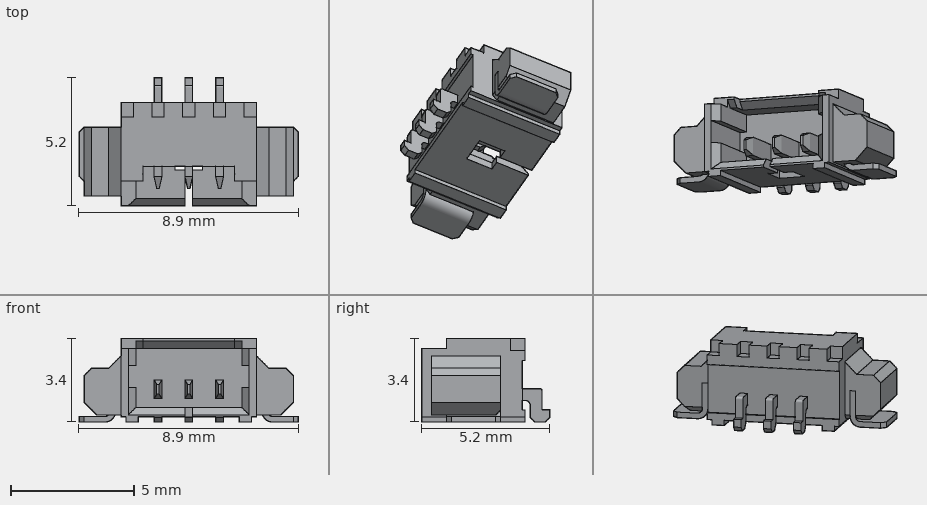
import cadquery as cq
import math


HOUSING_WIDTH = 5.5
HOUSING_DEPTH = 4.2
HOUSING_BOTTOM = 0.215
HOUSING_TOP = 3.4
FRONT_STEP_DEPTH = 1.0
FRONT_STEP_Z = 3.0
REAR_RECESS_DEPTH = 0.11
REAR_RECESS_BOTTOM = 0.5
REAR_RECESS_TOP = 2.5

SOCKET_WIDTH = 4.3
SOCKET_DEPTH = 3.0
SOCKET_FLOOR = 0.6
SOCKET_CEILING = FRONT_STEP_Z
MOUTH_CHAMFER = 0.3
ROOF_BEVEL = 0.3
GROOVE_DEPTH = MOUTH_CHAMFER
GROOVE_BOTTOM = 1.4
GROOVE_TOP = 2.3
WINDOW_WIDTH = 3.72
WINDOW_DEPTH = 1.6
FLOOR_SLOT_WIDTH = 0.29
FLOOR_HOLE_WIDTH = 1.1
FLOOR_HOLE_FRONT = 1.46
FLOOR_HOLE_REAR = 2.62

NOTCH_WIDTH = 0.5
NOTCH_LENGTH = 0.6
NOTCH_HEIGHT = 0.5
FOOT_WIDTH = 0.51
FOOT_CENTER_X = 2.3

WING_TIP_X = 4.25
WING_FRONT = 0.4
WING_REAR = 3.2
WING_BOTTOM = 0.29
WING_SHOULDER_Z = 2.19
WING_ROOT_RISE = 0.5
WING_TOP_CHAMFER = 0.3
WING_BOTTOM_CHAMFER = 0.51
WING_REAR_RELIEF = 0.2

PIN_COUNT = 3
PIN_PITCH = 1.25
PIN_WIDTH = 0.32
PIN_TIP_Y = 0.7
PIN_TIP_LENGTH = 0.49
PIN_TIP_WIDTH = 0.1
PIN_TIP_HEIGHT = 0.4
BLADE_BOTTOM = 0.96
BLADE_TOP = 1.71
BLADE_REAR = 3.5
TAIL_BOTTOM = 0.88
TAIL_TOP = 1.365
TAIL_LEG_FRONT = 4.4
TAIL_LEG_REAR = 4.89
TAIL_TOE_REAR = 5.2
TAIL_TOE_TOP = 0.51
TOE_CHAMFER = 0.19
TAIL_OUTER_RADIUS = 0.1
TAIL_INNER_RADIUS = 0.2

TAB_TIP_X = 4.45
TAB_FRONT = FRONT_STEP_DEPTH
TAB_REAR = WING_REAR
TAB_THICKNESS = 0.235
TAB_ROOT_X = 2.97
TAB_INNER_RADIUS = 0.2
TAB_TOP = 1.5
TAB_CORNER_CHAMFER = 0.2

pin_positions = [(i - (PIN_COUNT - 1) / 2) * PIN_PITCH for i in range(PIN_COUNT)]


def block(x_range, y_range, z_range):
    """Box given by its lower and upper limit along each axis."""
    sizes = [high - low for low, high in (x_range, y_range, z_range)]
    return cq.Workplane("XY").box(*sizes, centered=False).translate((x_range[0], y_range[0], z_range[0]))


def centered_block(width, y_range, z_range, center_x=0):
    """Box placed symmetrically about center_x."""
    return block((center_x - width / 2, center_x + width / 2), y_range, z_range)


def side_profile(points):
    """Closed outline of (y, z) points, on the YZ plane."""
    return cq.Workplane("YZ").polyline(points).close()


def make_pin(center_x):
    taper_start = PIN_TIP_Y + PIN_TIP_LENGTH
    blade_height = BLADE_TOP - BLADE_BOTTOM
    blade_center_z = (BLADE_TOP + BLADE_BOTTOM) / 2
    blade = centered_block(PIN_WIDTH, (taper_start, BLADE_REAR), (BLADE_BOTTOM, BLADE_TOP))
    tip = (
        cq.Workplane("XZ", origin=(0, taper_start, blade_center_z))
        .rect(PIN_WIDTH, blade_height)
        .workplane(offset=PIN_TIP_LENGTH)
        .rect(PIN_TIP_WIDTH, PIN_TIP_HEIGHT)
        .loft(ruled=True)
    )
    tail = (
        side_profile([
            (BLADE_REAR, TAIL_BOTTOM),
            (BLADE_REAR, TAIL_TOP),
            (TAIL_LEG_REAR, TAIL_TOP),
            (TAIL_LEG_REAR, TAIL_TOE_TOP),
            (TAIL_TOE_REAR, TAIL_TOE_TOP),
            (TAIL_TOE_REAR, TOE_CHAMFER),
            (TAIL_TOE_REAR - TOE_CHAMFER, 0),
            (TAIL_LEG_FRONT + TOE_CHAMFER, 0),
            (TAIL_LEG_FRONT, TOE_CHAMFER),
            (TAIL_LEG_FRONT, TAIL_BOTTOM),
        ])
        .extrude(PIN_WIDTH / 2, both=True)
    )
    outer_corner = cq.NearestToPointSelector((0, TAIL_LEG_REAR, TAIL_TOP))
    inner_corner = cq.NearestToPointSelector((0, TAIL_LEG_FRONT, TAIL_BOTTOM))
    tail = tail.edges("|X").edges(outer_corner).fillet(TAIL_OUTER_RADIUS)
    tail = tail.edges("|X").edges(inner_corner).fillet(TAIL_INNER_RADIUS)
    return blade.union(tip).union(tail).translate((center_x, 0, 0))


def make_right_tab():
    outer_radius = TAB_INNER_RADIUS + TAB_THICKNESS
    outer_face_x = TAB_ROOT_X + TAB_THICKNESS
    bend_x = TAB_ROOT_X + outer_radius
    bend_z = outer_radius
    diagonal = math.sqrt(0.5)
    tab = (
        cq.Workplane("XZ", origin=(0, TAB_REAR, 0))
        .moveTo(TAB_TIP_X, 0)
        .lineTo(bend_x, 0)
        .threePointArc(
            (bend_x - outer_radius * diagonal, bend_z - outer_radius * diagonal),
            (TAB_ROOT_X, bend_z),
        )
        .lineTo(TAB_ROOT_X, TAB_TOP)
        .lineTo(outer_face_x, TAB_TOP)
        .lineTo(outer_face_x, bend_z)
        .threePointArc(
            (bend_x - TAB_INNER_RADIUS * diagonal, bend_z - TAB_INNER_RADIUS * diagonal),
            (bend_x, TAB_THICKNESS),
        )
        .lineTo(TAB_TIP_X, TAB_THICKNESS)
        .close()
        .extrude(TAB_REAR - TAB_FRONT)
    )
    return tab.faces(">X").edges("|Z").chamfer(TAB_CORNER_CHAMFER)


def make_right_wing():
    root_x = HOUSING_WIDTH / 2
    wing = (
        cq.Workplane("XZ", origin=(0, WING_REAR, 0))
        .polyline([
            (root_x, WING_BOTTOM),
            (root_x, WING_SHOULDER_Z + WING_ROOT_RISE),
            (root_x + WING_ROOT_RISE, WING_SHOULDER_Z),
            (WING_TIP_X - WING_TOP_CHAMFER, WING_SHOULDER_Z),
            (WING_TIP_X, WING_SHOULDER_Z - WING_TOP_CHAMFER),
            (WING_TIP_X, WING_BOTTOM + WING_BOTTOM_CHAMFER),
            (WING_TIP_X - WING_BOTTOM_CHAMFER, WING_BOTTOM),
        ])
        .close()
        .extrude(WING_REAR - WING_FRONT)
    )
    return wing.faces("<Z").edges(">Y").chamfer(WING_REAR_RELIEF)


def make_socket():
    socket = centered_block(SOCKET_WIDTH, (0, SOCKET_DEPTH), (SOCKET_FLOOR, SOCKET_CEILING))
    grooves = centered_block(
        SOCKET_WIDTH + 2 * GROOVE_DEPTH, (0, SOCKET_DEPTH), (GROOVE_BOTTOM, GROOVE_TOP)
    )
    mouth_floor = SOCKET_FLOOR - MOUTH_CHAMFER
    mouth_width = SOCKET_WIDTH + 2 * MOUTH_CHAMFER
    mouth = (
        cq.Workplane("XZ", origin=(0, MOUTH_CHAMFER, 0))
        .center(0, (SOCKET_CEILING + SOCKET_FLOOR) / 2)
        .rect(SOCKET_WIDTH, SOCKET_CEILING - SOCKET_FLOOR)
        .workplane(offset=MOUTH_CHAMFER)
        .center(0, (mouth_floor - SOCKET_FLOOR) / 2)
        .rect(mouth_width, SOCKET_CEILING - mouth_floor)
        .loft(ruled=True)
    )
    return socket.union(grooves).union(mouth)


def make_lead_in(width, edge_y):
    """Wedge that bevels the underside of the roof behind a front edge at edge_y."""
    return (
        side_profile([
            (edge_y, SOCKET_CEILING),
            (edge_y, SOCKET_CEILING + ROOF_BEVEL),
            (edge_y + ROOF_BEVEL, SOCKET_CEILING),
        ])
        .extrude(width / 2, both=True)
    )


def make_housing():
    body = centered_block(HOUSING_WIDTH, (0, HOUSING_DEPTH), (HOUSING_BOTTOM, HOUSING_TOP))
    body = body.cut(centered_block(HOUSING_WIDTH, (0, FRONT_STEP_DEPTH), (FRONT_STEP_Z, HOUSING_TOP)))
    body = body.cut(centered_block(
        HOUSING_WIDTH,
        (HOUSING_DEPTH - REAR_RECESS_DEPTH, HOUSING_DEPTH),
        (REAR_RECESS_BOTTOM, REAR_RECESS_TOP),
    ))

    body = body.cut(make_socket())
    body = body.cut(make_lead_in(SOCKET_WIDTH, FRONT_STEP_DEPTH))
    body = body.cut(centered_block(WINDOW_WIDTH, (0, WINDOW_DEPTH), (SOCKET_CEILING, HOUSING_TOP)))
    body = body.cut(make_lead_in(WINDOW_WIDTH, WINDOW_DEPTH))

    floor_range = (HOUSING_BOTTOM, SOCKET_FLOOR)
    body = body.cut(centered_block(FLOOR_SLOT_WIDTH, (0, FLOOR_HOLE_FRONT), floor_range))
    body = body.cut(centered_block(FLOOR_HOLE_WIDTH, (FLOOR_HOLE_FRONT, FLOOR_HOLE_REAR), floor_range))

    corner_x = (HOUSING_WIDTH - NOTCH_WIDTH) / 2
    for notch_x in [-corner_x, *pin_positions, corner_x]:
        body = body.cut(centered_block(
            NOTCH_WIDTH,
            (HOUSING_DEPTH - NOTCH_LENGTH, HOUSING_DEPTH),
            (HOUSING_TOP - NOTCH_HEIGHT, HOUSING_TOP),
            notch_x,
        ))

    for foot_x in (-FOOT_CENTER_X, FOOT_CENTER_X):
        body = body.union(centered_block(FOOT_WIDTH, (0, HOUSING_DEPTH), (0, HOUSING_BOTTOM), foot_x))

    wing = make_right_wing()
    return body.union(wing).union(wing.mirror("YZ"))


pins = [make_pin(x) for x in pin_positions]
right_tab = make_right_tab()
tabs = [right_tab, right_tab.mirror("YZ")]

housing = make_housing()
for insert in pins + tabs:
    housing = housing.cut(insert)

result = cq.Compound.makeCompound([housing.val(), *[body.val() for body in pins + tabs]])